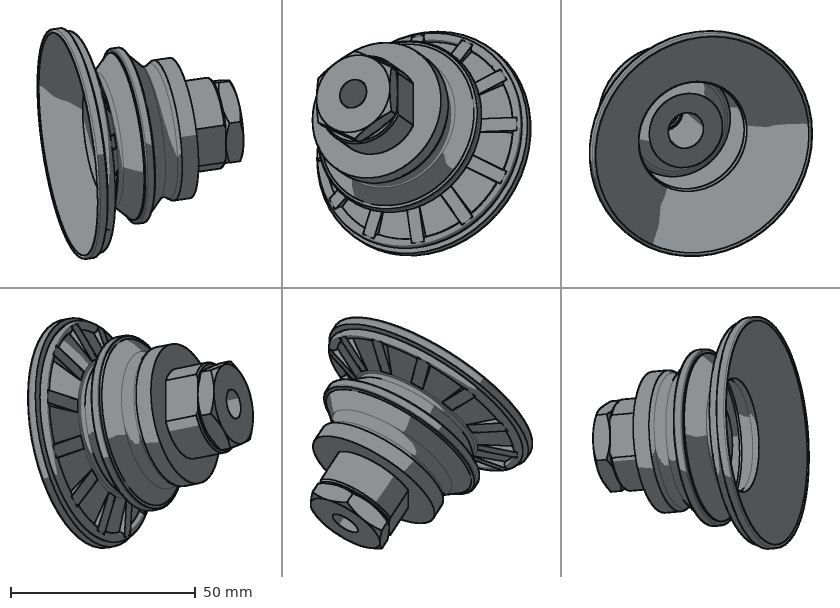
import cadquery as cq
import math


lip_radius = 31.5
lip_front = 0.55
lip_rear = 2.6
bead_radius = 1.25
bead_outer_radius = 30.5
bead_front = 3.15
bead_centre_radius = bead_outer_radius - bead_radius
bead_centre_y = 4.15
bead_front_radius = bead_centre_radius + math.sqrt(bead_radius**2 - (bead_centre_y - bead_front) ** 2)

bowl_mouth_radius = 30.5
bowl_mouth_y = 0.3
bowl_throat_radius = 15.5
bowl_throat_y = 8.5
skirt_start_radius = 19.2
skirt_start_y = 8.9
skirt_end_radius = bead_centre_radius - bead_radius

rib_count = 12
rib_width = 3.7
rib_end_radius = 29.6
rib_end_y = 5.35
rib_root_depth = 1.25

neck_radius = 17.95
lower_neck_y = 9.95
lower_neck_start = (18.4, 9.25)
lower_neck_end = (18.4, 10.65)
fold_radius = 48.1 / 2
fold_front = 15.6
fold_rear = 18.0
fold_edge_round = 0.3
fold_cone_radius = 22.95
lower_cone_end_y = 15.25
upper_cone_start_y = 18.4
upper_neck_start = (19.0, 22.25)
upper_neck_y = 24.05
upper_neck_end = (18.5, 25.8)
collar_radius = 38.5 / 2
collar_front = 26.95
collar_rear = 31.55

throat_radius = 15.1
throat_y = 9.45
throat_rear = 2 * throat_y - bowl_throat_y
cavity_radius = 19.9
cavity_front = 15.25
cavity_rear = 15.9
floor_radius = 15.0
floor_y = 21.05

boss_face_radius = 10.45
boss_face_y = 14.25
boss_base_radius = 13.2
boss_base_y = 20.3
boss_fillet_radius = 14.2

stem_radius = 12.5
stem_chamfer = 0.5
stem_rear = 41.5
across_flats = 21.9
total_length = 46.5
hex_corner_radius = across_flats / math.sqrt(3)
hex_chamfer_slope = math.tan(math.radians(30))

front_bore_radius = 10.0 / 2
rear_bore_radius = 8.0 / 2
bore_step_y = collar_rear
bore_chamfer = 0.5


def revolve_about_y(profile):
    return profile.close().revolve(360, (0, 0, 0), (0, 1, 0))


def cup_body():
    profile = (
        cq.Workplane("XY")
        .moveTo(0, boss_face_y)
        .lineTo(boss_face_radius, boss_face_y)
        .lineTo(boss_base_radius, boss_base_y)
        .tangentArcPoint((boss_fillet_radius, floor_y), relative=False)
        .lineTo(floor_radius, floor_y)
        .lineTo(cavity_radius, cavity_rear)
        .lineTo(cavity_radius, cavity_front)
        .lineTo(bowl_throat_radius, throat_rear)
        .threePointArc((throat_radius, throat_y), (bowl_throat_radius, bowl_throat_y))
        .lineTo(bowl_mouth_radius, bowl_mouth_y)
        .threePointArc(((bowl_mouth_radius + lip_radius) / 2, 0), (lip_radius, lip_front))
        .lineTo(lip_radius, lip_rear)
        .lineTo(bead_front_radius, bead_front)
        .threePointArc((bead_centre_radius, bead_centre_y + bead_radius), (skirt_end_radius, bead_centre_y))
        .lineTo(skirt_start_radius, skirt_start_y)
        .lineTo(*lower_neck_start)
        .threePointArc((neck_radius, lower_neck_y), lower_neck_end)
        .lineTo(fold_cone_radius, lower_cone_end_y)
        .lineTo(fold_cone_radius, fold_front)
        .lineTo(fold_radius - fold_edge_round, fold_front)
        .tangentArcPoint((fold_radius, fold_front + fold_edge_round), relative=False)
        .lineTo(fold_radius, fold_rear - fold_edge_round)
        .tangentArcPoint((fold_radius - fold_edge_round, fold_rear), relative=False)
        .lineTo(fold_cone_radius, upper_cone_start_y)
        .lineTo(*upper_neck_start)
        .threePointArc((neck_radius, upper_neck_y), upper_neck_end)
        .tangentArcPoint((collar_radius, collar_front), relative=False)
        .lineTo(collar_radius, collar_rear)
        .lineTo(0, collar_rear)
    )
    return revolve_about_y(profile)


def rib():
    """One rib along +X, sunk into the skirt and the bead so that it fuses with both."""
    outline = [
        (skirt_start_radius, skirt_start_y),
        (rib_end_radius, rib_end_y),
        (bead_centre_radius, bead_centre_y),
        (skirt_end_radius, bead_centre_y - rib_root_depth),
        (skirt_start_radius, skirt_start_y - rib_root_depth),
    ]
    return cq.Workplane("XY").polyline(outline).close().extrude(rib_width / 2, both=True)


def stem():
    """Round stem with a flat on each X side and a chamfered rear edge."""
    profile = (
        cq.Workplane("XY")
        .moveTo(0, collar_rear)
        .lineTo(stem_radius, collar_rear)
        .lineTo(stem_radius, stem_rear - stem_chamfer)
        .lineTo(stem_radius - stem_chamfer, stem_rear)
        .lineTo(0, stem_rear)
    )
    flats = cq.Workplane("XY").box(across_flats, 2 * total_length, 2 * stem_radius)
    return revolve_about_y(profile).intersect(flats)


def hexagon():
    """Hexagon with flats on the X sides, its corners trimmed by a cone at each end."""
    prism = (
        cq.Workplane("XZ", origin=(0, stem_rear, 0))
        .transformed(rotate=(0, 0, 90))
        .polygon(6, 2 * hex_corner_radius)
        .extrude(stem_rear - total_length)
    )
    end_radius = across_flats / 2
    corner_drop = (hex_corner_radius - end_radius) * hex_chamfer_slope
    trim = (
        cq.Workplane("XY")
        .moveTo(0, stem_rear)
        .lineTo(end_radius, stem_rear)
        .lineTo(hex_corner_radius, stem_rear + corner_drop)
        .lineTo(hex_corner_radius, total_length - corner_drop)
        .lineTo(end_radius, total_length)
        .lineTo(0, total_length)
    )
    return prism.intersect(revolve_about_y(trim))


def bore():
    """Front bore, a flat step with a chamfered edge, then the smaller rear bore."""
    profile = (
        cq.Workplane("XY")
        .moveTo(0, boss_face_y)
        .lineTo(front_bore_radius, boss_face_y)
        .lineTo(front_bore_radius, bore_step_y)
        .lineTo(rear_bore_radius + bore_chamfer, bore_step_y)
        .lineTo(rear_bore_radius, bore_step_y + bore_chamfer)
        .lineTo(rear_bore_radius, total_length)
        .lineTo(0, total_length)
    )
    return revolve_about_y(profile)


result = cup_body()
for index in range(rib_count):
    result = result.union(rib().rotate((0, 0, 0), (0, 1, 0), index * 360 / rib_count))
result = result.union(stem()).union(hexagon()).cut(bore())